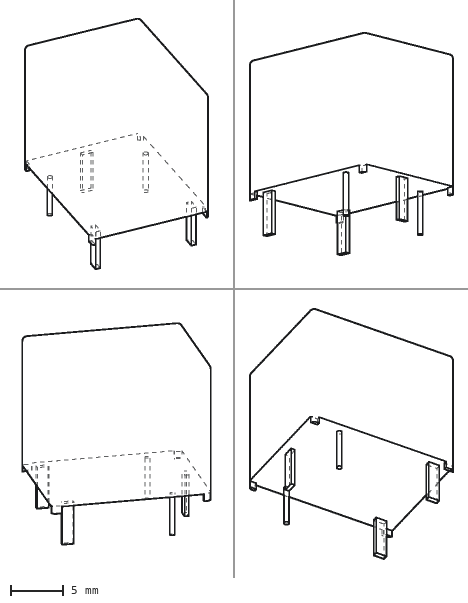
import cadquery as cq

length = 15.6
width = 12.21
height = 17.2
pin_length = 4.2
edge_radius = 0.5

foot_height = 0.7
foot_depth = 0.31
left_foot_length = 0.74
right_foot_length = 0.98

pin_row_offset = 5.0
round_pin_diameter = 0.5
round_pin_x = -4.21
center_pin_x = -6.7
center_pin_thickness = 0.41
center_pin_width = 1.1
right_pin_x = 6.0
right_pin_thickness = 0.5
right_pin_width = 1.14


def make_cover():
    """Box reaching down to the feet, rounded on its upright and top edges."""
    cover_height = height - pin_length + foot_height
    cover = cq.Workplane("XY").box(length, width, cover_height, centered=(True, True, False))
    cover = cover.edges("|Z or >Z").fillet(edge_radius)
    return cover.translate((0, 0, pin_length - foot_height))


def cut_between_feet(cover):
    """Clear the underside along X and along Y so that only the corner feet remain."""
    foot_bottom = pin_length - foot_height
    gap_x = length - left_foot_length - right_foot_length
    gap_y = width - 2 * foot_depth
    gap_center_x = (left_foot_length - right_foot_length) / 2
    underside = cq.Workplane("XY").workplane(offset=foot_bottom)
    gap_along_x = underside.center(gap_center_x, 0).rect(gap_x, width).extrude(foot_height)
    gap_along_y = underside.rect(length, gap_y).extrude(foot_height)
    return cover.cut(gap_along_x).cut(gap_along_y)


def flat_pin(x, y, size_x, size_y):
    return cq.Workplane("XY").center(x, y).rect(size_x, size_y).extrude(pin_length)


def round_pin(x, y):
    return cq.Workplane("XY").center(x, y).circle(round_pin_diameter / 2).extrude(pin_length)


result = cut_between_feet(make_cover())
result = result.union(flat_pin(center_pin_x, 0, center_pin_thickness, center_pin_width))
for row_y in (-pin_row_offset, pin_row_offset):
    result = result.union(round_pin(round_pin_x, row_y))
    result = result.union(flat_pin(right_pin_x, row_y, right_pin_width, right_pin_thickness))